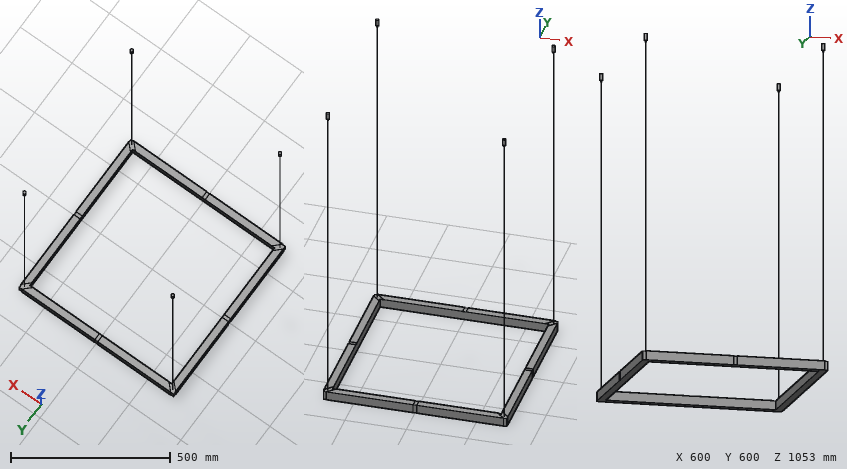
import cadquery as cq


TOTAL_HEIGHT = 1053.0
FRAME_SIDE = 600.0
BEAM_WIDTH = 26.0
BEAM_HEIGHT = 31.0
SLEEVE_WALL = 1.5

MIDDLE_SLOT_WIDTH = 12.0
CORNER_SLOT_WIDTH = 16.0

WIRE_DIAMETER = 1.2
GRIP_DIAMETER = 11.0
GRIP_HEIGHT = 21.0
COLLAR_DIAMETER = 4.0
COLLAR_HEIGHT = 5.0

core_side = FRAME_SIDE - 2 * SLEEVE_WALL
core_top = BEAM_HEIGHT - SLEEVE_WALL
grip_bottom = TOTAL_HEIGHT - GRIP_HEIGHT
collar_bottom = grip_bottom - COLLAR_HEIGHT
wire_offset = (FRAME_SIDE - BEAM_WIDTH) / 2


def square_ring(outer_side, beam_width, bottom, top):
    """Square ring of rectangular section, centred on the Z axis."""
    inner_side = outer_side - 2 * beam_width
    return (
        cq.Workplane("XY", origin=(0, 0, bottom))
        .rect(outer_side, outer_side)
        .rect(inner_side, inner_side)
        .extrude(top - bottom)
    )


def slot_bar(width, angle):
    """Bar that crosses the whole frame through its centre, turned by an angle about Z."""
    bar_length = 2 * FRAME_SIDE
    return (
        cq.Workplane("XY")
        .box(bar_length, width, BEAM_HEIGHT, centered=(True, True, False))
        .rotate((0, 0, 0), (0, 0, 1), angle)
    )


def make_core():
    """Ring that fills the inside of the sleeve."""
    return square_ring(core_side, BEAM_WIDTH - 2 * SLEEVE_WALL, SLEEVE_WALL, core_top)


def make_sleeve(core):
    """Hollow ring whose top and outer walls are slotted down to the core."""
    sleeve = square_ring(FRAME_SIDE, BEAM_WIDTH, 0, BEAM_HEIGHT).cut(core)
    kept_section = square_ring(core_side, BEAM_WIDTH - SLEEVE_WALL, 0, core_top)
    for angle in (0, 90):
        middle_slots = slot_bar(MIDDLE_SLOT_WIDTH, angle)
        corner_slots = slot_bar(CORNER_SLOT_WIDTH, angle + 45)
        sleeve = sleeve.cut(middle_slots.union(corner_slots).cut(kept_section))
    return sleeve


def make_wire(x, y):
    """Wire from the exposed core at a frame corner up to the grip's collar."""
    return (
        cq.Workplane("XY", origin=(x, y, core_top))
        .circle(WIRE_DIAMETER / 2)
        .extrude(collar_bottom - core_top)
    )


def make_grip(x, y):
    """Ceiling grip: a cylinder with a narrow collar below it."""
    collar = (
        cq.Workplane("XY", origin=(x, y, collar_bottom))
        .circle(COLLAR_DIAMETER / 2)
        .extrude(COLLAR_HEIGHT)
    )
    barrel = (
        cq.Workplane("XY", origin=(x, y, grip_bottom))
        .circle(GRIP_DIAMETER / 2)
        .extrude(GRIP_HEIGHT)
    )
    return barrel.union(collar)


core = make_core()
sleeve = make_sleeve(core)

wires = []
grips = []
for x in (-wire_offset, wire_offset):
    for y in (-wire_offset, wire_offset):
        wires.append(make_wire(x, y).val())
        grips.append(make_grip(x, y).solids().val())

result = cq.Compound.makeCompound([core.val(), sleeve.solids().val(), *wires, *grips])